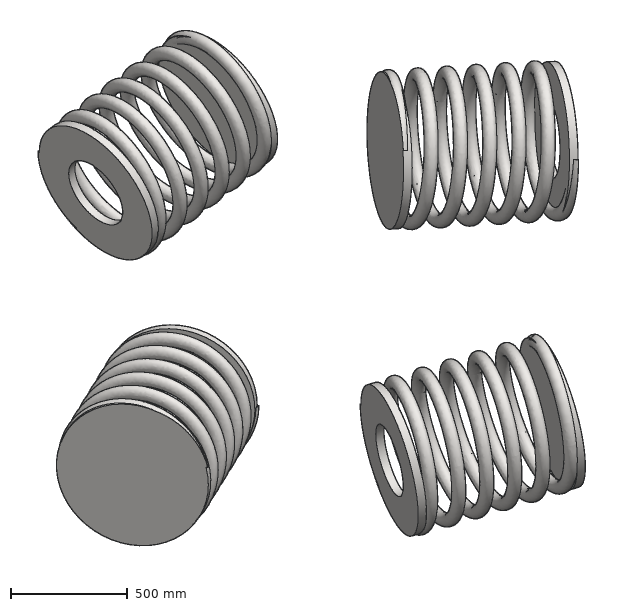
import cadquery as cq

length = 770.0
plate_diameter = 677.0
plate_thickness = 38.5
bore_diameter = 323.0
coil_outer_diameter = 693.0
wire_diameter = 61.5
full_turns = 6
last_turn_gap = 14.0
segments = 15

coil_radius = (coil_outer_diameter - wire_diameter) / 2
turns = full_turns - last_turn_gap / 360
pitch = length / turns
segment_height = length / segments
segment_angle = 360 * turns / segments


def make_plate():
    """Solid round end plate standing on the XY plane."""
    return cq.Workplane("XY").circle(plate_diameter / 2).extrude(plate_thickness)


def make_coil_segment(index):
    """One of the equal left-hand segments that join end to end into the coil."""
    helix = cq.Wire.makeHelix(pitch, segment_height, coil_radius, lefthand=True)
    segment = (
        cq.Workplane("XZ", origin=(coil_radius, 0, 0))
        .circle(wire_diameter / 2)
        .sweep(cq.Workplane(obj=helix), isFrenet=True)
    )
    angle = 180 - index * segment_angle
    return segment.rotate((0, 0, 0), (0, 0, 1), angle).translate((0, 0, index * segment_height))


front_ring = make_plate().faces(">Z").workplane().hole(bore_diameter)
back_disc = make_plate().translate((0, 0, length - plate_thickness))

trim = cq.Workplane("XY").circle(coil_outer_diameter).extrude(length)
front_end = make_coil_segment(0).intersect(trim).union(front_ring)
back_end = make_coil_segment(segments - 1).intersect(trim).union(back_disc)

spring = front_end
for index in range(1, segments - 1):
    spring = spring.union(make_coil_segment(index))
spring = spring.union(back_end)

result = spring.translate((0, 0, -length / 2)).rotate((0, 0, 0), (1, 0, 0), -90)